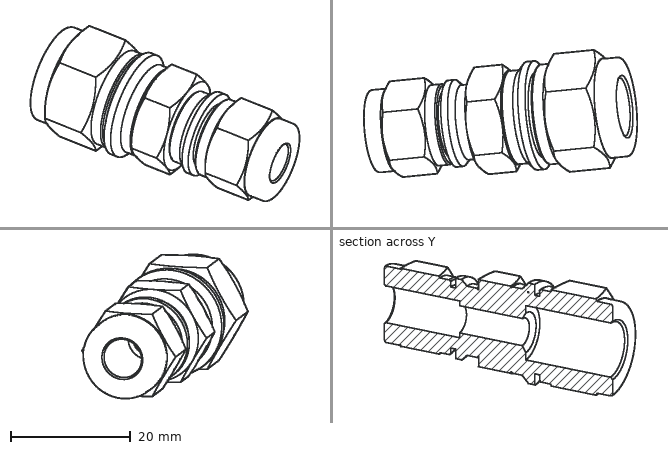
import cadquery as cq
import math

TOTAL_LENGTH = 43.45
HEX_CHAMFER_ANGLE = 30.0
EDGE_BREAK = 0.25

LARGE_END_DIA = 16.7
LARGE_END_ROUND = 0.45
LARGE_COLLAR_DIA = 16.8
LARGE_HEX_START, LARGE_HEX_END = 3.0, 11.85
LARGE_HEX_CORNERS = 20.15
LARGE_NUT_END = 13.95

LARGE_NECK_DIA = 14.3
LARGE_FLANGE_START, LARGE_FLANGE_END = 14.77, 16.05
LARGE_FLANGE_DIA = 18.25
LARGE_CONE_END = 17.25
LARGE_SHOULDER_DIA = 15.75

BODY_HEX_START, BODY_HEX_END = 19.35, 25.55
BODY_HEX_FLATS = 15.8

SMALL_SHOULDER_DIA = 12.6
SMALL_CONE_START = 27.68
SMALL_FLANGE_START, SMALL_FLANGE_END = 28.7, 29.9
SMALL_FLANGE_DIA = 14.6
SMALL_NECK_DIA = 11.12

SMALL_NUT_START = 30.8
SMALL_COLLAR_DIA = 13.6
SMALL_HEX_START, SMALL_HEX_END = 32.85, 40.45
SMALL_HEX_FLATS = 14.15
SMALL_END_DIA = 13.9
SMALL_END_ROUND = 0.45

THROUGH_DIA = 4.82
LARGE_TUBE_DIA = 9.75
LARGE_MOUTH_DIA = 10.5
LARGE_TUBE_DEPTH = 16.5
INNER_CONE_DIA = 7.13
INNER_CONE_ANGLE = 60.0
SMALL_TUBE_DIA = 6.55
SMALL_MOUTH_DIA = 7.13
SMALL_TUBE_DEPTH = 14.35


def cylinder(start, end, diameter):
    return cq.Workplane("YZ", origin=(start, 0, 0)).circle(diameter / 2).extrude(end - start)


def cone(start, end, start_diameter, end_diameter):
    profile = [(start, 0), (start, start_diameter / 2), (end, end_diameter / 2), (end, 0)]
    return cq.Workplane("XY").polyline(profile).close().revolve(360, (0, 0, 0), (1, 0, 0))


def chamfered_hexagon(start, end, flats, face_diameter):
    """Hexagon with corners on +/-Y, turned conically at both ends down to a round face."""
    corners = flats / math.cos(math.pi / 6)
    slope = math.tan(math.radians(HEX_CHAMFER_ANGLE))
    setback = (corners - face_diameter) / 2 * slope
    prism = cq.Workplane("YZ", origin=(start, 0, 0)).polygon(6, corners).extrude(end - start)
    envelope = (
        cone(start, start + setback, face_diameter, corners)
        .union(cylinder(start + setback, end - setback, corners))
        .union(cone(end - setback, end, corners, face_diameter))
    )
    return prism.intersect(envelope)


def large_nut():
    end = cylinder(0, LARGE_HEX_START, LARGE_END_DIA).faces("<X").edges().fillet(LARGE_END_ROUND)
    flats = LARGE_HEX_CORNERS * math.cos(math.pi / 6)
    hexagon = chamfered_hexagon(LARGE_HEX_START, LARGE_HEX_END, flats, LARGE_COLLAR_DIA)
    collar = cylinder(LARGE_HEX_END, LARGE_NUT_END, LARGE_COLLAR_DIA).faces(">X").chamfer(EDGE_BREAK)
    return end.union(hexagon).union(collar)


def body():
    large_shoulder = cylinder(LARGE_CONE_END, BODY_HEX_START, LARGE_SHOULDER_DIA)
    small_shoulder = cylinder(BODY_HEX_END, SMALL_CONE_START, SMALL_SHOULDER_DIA)
    sections = [
        cylinder(LARGE_FLANGE_START, LARGE_FLANGE_END, LARGE_FLANGE_DIA),
        cone(LARGE_FLANGE_END, LARGE_CONE_END, LARGE_FLANGE_DIA, LARGE_SHOULDER_DIA),
        large_shoulder.faces(">X").chamfer(EDGE_BREAK),
        chamfered_hexagon(BODY_HEX_START, BODY_HEX_END, BODY_HEX_FLATS, BODY_HEX_FLATS),
        small_shoulder.faces("<X").chamfer(EDGE_BREAK),
        cone(SMALL_CONE_START, SMALL_FLANGE_START, SMALL_SHOULDER_DIA, SMALL_FLANGE_DIA),
        cylinder(SMALL_FLANGE_START, SMALL_FLANGE_END, SMALL_FLANGE_DIA),
        cylinder(SMALL_FLANGE_END, SMALL_NUT_START, SMALL_NECK_DIA),
    ]
    solid = cylinder(LARGE_NUT_END, LARGE_FLANGE_START, LARGE_NECK_DIA)
    for section in sections:
        solid = solid.union(section)
    return solid


def small_nut():
    collar = cylinder(SMALL_NUT_START, SMALL_HEX_START, SMALL_COLLAR_DIA)
    collar = collar.faces("<X").chamfer(EDGE_BREAK)
    hexagon = chamfered_hexagon(SMALL_HEX_START, SMALL_HEX_END, SMALL_HEX_FLATS, SMALL_COLLAR_DIA)
    end = cylinder(SMALL_HEX_END, TOTAL_LENGTH, SMALL_END_DIA)
    end = end.faces(">X").edges().fillet(SMALL_END_ROUND)
    return collar.union(hexagon).union(end)


def bores():
    """Tube sockets with 45 degree mouths, joined by the through bore."""
    large_mouth = (LARGE_MOUTH_DIA - LARGE_TUBE_DIA) / 2
    small_mouth = (SMALL_MOUTH_DIA - SMALL_TUBE_DIA) / 2
    inner_cone_length = (INNER_CONE_DIA - THROUGH_DIA) / 2 / math.tan(math.radians(INNER_CONE_ANGLE))
    inner_cone_end = LARGE_TUBE_DEPTH + inner_cone_length
    small_seat = TOTAL_LENGTH - SMALL_TUBE_DEPTH
    return (
        cylinder(0, TOTAL_LENGTH, THROUGH_DIA)
        .union(cylinder(0, LARGE_TUBE_DEPTH, LARGE_TUBE_DIA))
        .union(cone(0, large_mouth, LARGE_MOUTH_DIA, LARGE_TUBE_DIA))
        .union(cone(LARGE_TUBE_DEPTH, inner_cone_end, INNER_CONE_DIA, THROUGH_DIA))
        .union(cylinder(small_seat, TOTAL_LENGTH, SMALL_TUBE_DIA))
        .union(cone(TOTAL_LENGTH - small_mouth, TOTAL_LENGTH, SMALL_TUBE_DIA, SMALL_MOUTH_DIA))
    )


result = large_nut().union(body()).union(small_nut()).cut(bores())